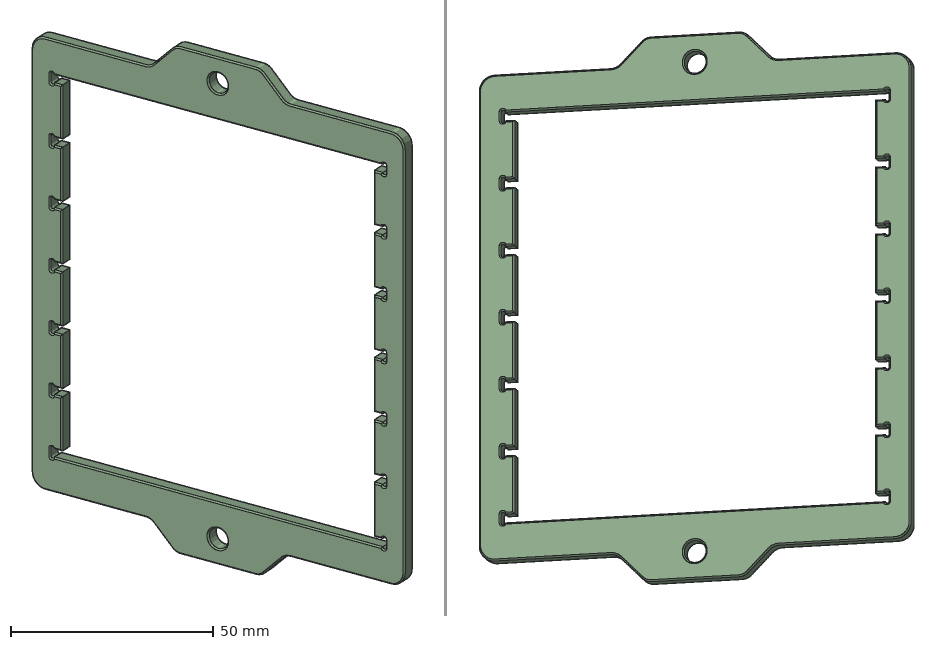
import cadquery as cq

height = 138.0
width = 110.0
thickness = 4.0
edge_chamfer = 0.4

shoulder_drop = 7.5
corner_radius = 4.0
tab_top_width = 25.1
tab_blend_radius = 3.5

hole_diameter = 5.5
hole_spacing = 123.9

window_width = 91.9
slot_count = 7
slot_pitch = 17.0
slot_width = 2.2
slot_depth = 3.5

relief_radius = 0.48

tab_base_width = tab_top_width + 2 * shoulder_drop
shoulder_z = height / 2 - shoulder_drop
window_height = (slot_count - 1) * slot_pitch + slot_width
slot_span = window_width + 2 * slot_depth
slot_heights = [(i - (slot_count - 1) / 2) * slot_pitch for i in range(slot_count)]


def sketch_plane(x=0.0, z=0.0):
    """XZ workplane on the +Y face of the plate, with its origin at (x, z)."""
    return cq.Workplane("XZ", origin=(x, thickness / 2, z))


def block(size_x, size_z, x=0.0, z=0.0):
    """Full-thickness rectangular block centred at (x, z)."""
    return sketch_plane(x, z).rect(size_x, size_z).extrude(thickness)


def cylinders(centres, radius):
    """Full-thickness cylinders along Y at the given (x, z) centres."""
    return sketch_plane().pushPoints(centres).circle(radius).extrude(thickness)


def tab(side):
    """Trapezoidal tab reaching from mid-height to the top (+1) or bottom (-1)."""
    return (
        sketch_plane()
        .moveTo(-tab_base_width / 2, 0)
        .lineTo(-tab_base_width / 2, side * shoulder_z)
        .lineTo(-tab_top_width / 2, side * height / 2)
        .lineTo(tab_top_width / 2, side * height / 2)
        .lineTo(tab_base_width / 2, side * shoulder_z)
        .lineTo(tab_base_width / 2, 0)
        .close()
        .extrude(thickness)
    )


def outer_plate():
    """Rounded plate with both tabs blended into its top and bottom sides."""
    body = block(width, 2 * shoulder_z).edges("|Y").fillet(corner_radius)
    plate = body.union(tab(1)).union(tab(-1))
    tab_zone = cq.selectors.BoxSelector(
        (-tab_base_width, -thickness, -height), (tab_base_width, thickness, height)
    )
    return plate.edges("|Y").edges(tab_zone).fillet(tab_blend_radius)


def window():
    """Window opening including the side slots and their end reliefs."""
    opening = block(window_width, window_height)
    relief_x = slot_span / 2 - relief_radius
    for z in slot_heights:
        opening = opening.union(block(slot_span, slot_width, z=z))
        corners = [
            (x, z + side * slot_width / 2)
            for x in (-relief_x, relief_x)
            for side in (-1, 1)
        ]
        opening = opening.union(cylinders(corners, relief_radius))
    return opening


def mounting_holes():
    """Through holes centred in the tabs."""
    return cylinders([(0, -hole_spacing / 2), (0, hole_spacing / 2)], hole_diameter / 2)


plate = outer_plate().cut(window()).cut(mounting_holes())
result = plate.faces("<Y or >Y").edges().chamfer(edge_chamfer)